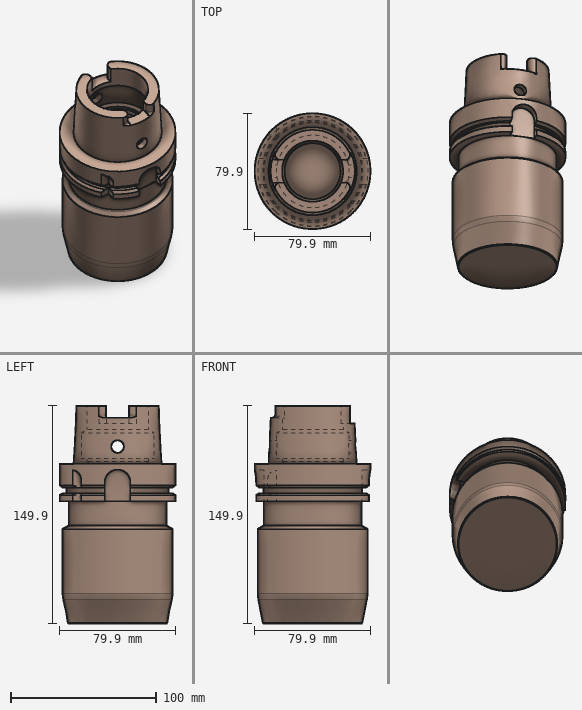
import cadquery as cq
import math

TOTAL_HEIGHT = 149.9
FLANGE_TOP = 109.9
FLANGE_BOTTOM = 84.1

BODY_RADIUS = 76.0 / 2
NOSE_RADIUS = 34.3
NOSE_CHAMFER = 0.6
NOSE_CONE_TOP = 16.6
NOSE_CONE_TOP_RADIUS = 37.5
NOSE_BLEND_TOP = 21.0
SHOULDER_BOTTOM = 64.9
SHOULDER_TOP = 67.0
SHOULDER_RIM = 0.5
SHOULDER_TOP_RADIUS = 34.5
NECK_BOTTOM = 67.8
NECK_RADIUS = 67.5 / 2

FLANGE_RADIUS = 79.9 / 2
GROOVE_RADIUS = 35.2
GROOVE_BOTTOM = 89.8
GROOVE_TOP = 93.5
GROOVE_LIP_RADIUS = 37.6
LOWER_LIP_HEIGHT = 1.3
UPPER_LIP_HEIGHT = 1.8

SHANK_BASE_RADIUS = 30.5
SHANK_TOP_RADIUS = 28.5

BORE_RADIUS = 42.1 / 2
UNDERCUT_RADIUS = 50.0 / 2
LIP_BOTTOM = 133.9
LIP_CHAMFER_HEIGHT = 2.4
UNDERCUT_BOTTOM = 113.9
BORE_FLOOR = 109.9
FLOOR_CHAMFER = 1.8

CROSS_HOLE_DIAMETER = 8.5
CROSS_HOLE_HEIGHT = 121.9

SLOT_HALF_WIDTH = 7.8
SLOT_CORNER_RADIUS = 3.5
SLOT_FLOOR_NEG_X = 141.8
SLOT_FLOOR_POS_X = 137.9
SLOT_FLOOR_FILLET = 2.0

KEYWAY_HALF_WIDTH = 8.8
KEYWAY_TOP = 106.0
KEYWAY_FLOOR = NECK_RADIUS
NOTCH_RADIUS = 6.7
NOTCH_INNER_Y = 25.0
NOTCH_TOP = 105.7
NOTCH_FLOOR = 25.2

CUT_REACH = 45.0


def turned_body():
    return (
        cq.Workplane("XZ")
        .moveTo(0, 0)
        .lineTo(NOSE_RADIUS - NOSE_CHAMFER, 0)
        .lineTo(NOSE_RADIUS, NOSE_CHAMFER)
        .lineTo(NOSE_CONE_TOP_RADIUS, NOSE_CONE_TOP)
        .tangentArcPoint((BODY_RADIUS, NOSE_BLEND_TOP), relative=False)
        .lineTo(BODY_RADIUS, SHOULDER_BOTTOM)
        .lineTo(BODY_RADIUS - SHOULDER_RIM, SHOULDER_BOTTOM + SHOULDER_RIM)
        .lineTo(SHOULDER_TOP_RADIUS, SHOULDER_TOP)
        .lineTo(NECK_RADIUS, NECK_BOTTOM)
        .lineTo(NECK_RADIUS, FLANGE_BOTTOM)
        .lineTo(FLANGE_RADIUS, FLANGE_BOTTOM)
        .lineTo(FLANGE_RADIUS, GROOVE_BOTTOM - LOWER_LIP_HEIGHT)
        .lineTo(GROOVE_LIP_RADIUS, GROOVE_BOTTOM)
        .lineTo(GROOVE_RADIUS, GROOVE_BOTTOM)
        .lineTo(GROOVE_RADIUS, GROOVE_TOP)
        .lineTo(GROOVE_LIP_RADIUS, GROOVE_TOP)
        .lineTo(FLANGE_RADIUS, GROOVE_TOP + UPPER_LIP_HEIGHT)
        .lineTo(FLANGE_RADIUS, FLANGE_TOP)
        .lineTo(SHANK_BASE_RADIUS, FLANGE_TOP)
        .lineTo(SHANK_TOP_RADIUS, TOTAL_HEIGHT)
        .lineTo(0, TOTAL_HEIGHT)
        .close()
        .revolve(360, (0, 0), (0, 1))
    )


def bore():
    return (
        cq.Workplane("XZ")
        .moveTo(0, BORE_FLOOR)
        .lineTo(BORE_RADIUS - FLOOR_CHAMFER, BORE_FLOOR)
        .lineTo(BORE_RADIUS, BORE_FLOOR + FLOOR_CHAMFER)
        .lineTo(BORE_RADIUS, UNDERCUT_BOTTOM)
        .lineTo(UNDERCUT_RADIUS, UNDERCUT_BOTTOM)
        .lineTo(UNDERCUT_RADIUS, LIP_BOTTOM - LIP_CHAMFER_HEIGHT)
        .lineTo(BORE_RADIUS, LIP_BOTTOM)
        .lineTo(BORE_RADIUS, TOTAL_HEIGHT)
        .lineTo(0, TOTAL_HEIGHT)
        .close()
        .revolve(360, (0, 0), (0, 1))
    )


def cross_hole():
    return (
        cq.Workplane("YZ")
        .center(0, CROSS_HOLE_HEIGHT)
        .circle(CROSS_HOLE_DIAMETER / 2)
        .extrude(CUT_REACH, both=True)
    )


def drive_slot(floor_height, floor_fillet=0):
    """Slot toward +X whose mouth rounds tangentially into the top rim of the shank."""
    corner_y = SLOT_HALF_WIDTH + SLOT_CORNER_RADIUS
    corner_x = math.sqrt((SHANK_TOP_RADIUS - SLOT_CORNER_RADIUS) ** 2 - corner_y**2)
    rim_angle = math.atan2(corner_y, corner_x)
    rim_x = SHANK_TOP_RADIUS * math.cos(rim_angle)
    rim_y = SHANK_TOP_RADIUS * math.sin(rim_angle)
    middle_angle = (rim_angle - math.pi / 2) / 2
    middle_x = corner_x + SLOT_CORNER_RADIUS * math.cos(middle_angle)
    middle_y = corner_y + SLOT_CORNER_RADIUS * math.sin(middle_angle)
    slot = (
        cq.Workplane("XY")
        .workplane(offset=floor_height)
        .moveTo(0, -SLOT_HALF_WIDTH)
        .lineTo(corner_x, -SLOT_HALF_WIDTH)
        .threePointArc((middle_x, -middle_y), (rim_x, -rim_y))
        .lineTo(CUT_REACH, -rim_y)
        .lineTo(CUT_REACH, rim_y)
        .lineTo(rim_x, rim_y)
        .threePointArc((middle_x, middle_y), (corner_x, SLOT_HALF_WIDTH))
        .lineTo(0, SLOT_HALF_WIDTH)
        .close()
        .extrude(TOTAL_HEIGHT - floor_height)
    )
    if floor_fillet:
        slot = slot.faces("<Z").edges("%CIRCLE").fillet(floor_fillet)
    channel = (
        cq.Workplane("XY")
        .workplane(offset=floor_height)
        .rect(CUT_REACH, 2 * SLOT_HALF_WIDTH)
        .extrude(TOTAL_HEIGHT - floor_height)
        .translate((CUT_REACH / 2, 0, 0))
    )
    return slot.union(channel)


def arched_slot(center_y, half_width, top, floor_x):
    """Round-topped slot toward +X, open at the underside of the flange."""
    spring = top - half_width
    return (
        cq.Workplane("YZ")
        .workplane(offset=floor_x)
        .moveTo(center_y - half_width, FLANGE_BOTTOM)
        .lineTo(center_y - half_width, spring)
        .threePointArc((center_y, top), (center_y + half_width, spring))
        .lineTo(center_y + half_width, FLANGE_BOTTOM)
        .close()
        .extrude(CUT_REACH - floor_x)
    )


keyway = arched_slot(0, KEYWAY_HALF_WIDTH, KEYWAY_TOP, KEYWAY_FLOOR)
notch = arched_slot(NOTCH_INNER_Y + NOTCH_RADIUS, NOTCH_RADIUS, NOTCH_TOP, NOTCH_FLOOR)

result = (
    turned_body()
    .cut(bore())
    .cut(cross_hole())
    .cut(drive_slot(SLOT_FLOOR_POS_X))
    .cut(drive_slot(SLOT_FLOOR_NEG_X, SLOT_FLOOR_FILLET).mirror("YZ"))
    .cut(keyway)
    .cut(keyway.mirror("YZ"))
    .cut(notch.mirror("YZ"))
)